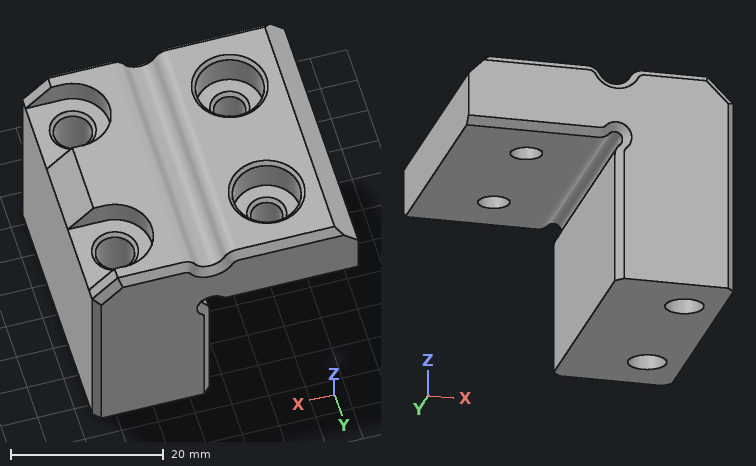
import cadquery as cq
import math

length_x = 36.0
width_y = 35.0
height_z = 30.0
arm_thickness = 10.0
leg_thickness = 16.0
inner_x = length_x - leg_thickness
inner_z = height_z - arm_thickness

arm_bevel = 3.0
heel_bevel = 3.5
side_chamfer = 1.0

groove_radius = 2.25
relief_radius = 1.0
lip_radius = 2.0

arm_hole_x = 10.0
arm_hole_spacing = 17.5
arm_hole_diameter = 4.2
counterbore_diameter = 9.0
counterbore_depth = 5.0

leg_hole_x = 31.0
leg_hole_spacing = 20.0
leg_hole_diameter = 5.1
pocket_width = 10.0
pocket_depth = 3.5

hole_chamfer = 0.5


def lip_reach(radius):
    """Distance from a channel's centre to where its rounded lip meets the flat face."""
    return math.sqrt((radius + lip_radius) ** 2 - lip_radius**2)


def lip_tangent(radius):
    """Where a channel meets its lip, as (along the face, into the material) from its centre."""
    share = radius / (radius + lip_radius)
    return lip_reach(radius) * share, lip_radius * share


def make_body():
    """Extrude the bracket outline across the full width, centred on Y = 0."""
    groove_reach = lip_reach(groove_radius)
    groove_along, groove_deep = lip_tangent(groove_radius)
    relief_reach = lip_reach(relief_radius)
    relief_along, relief_deep = lip_tangent(relief_radius)
    relief_diagonal = relief_radius * math.sqrt(0.5)

    outline = (
        cq.Workplane("XZ")
        .moveTo(0, inner_z)
        .lineTo(0, height_z - arm_bevel)
        .lineTo(arm_bevel, height_z)
        .lineTo(inner_x - groove_reach, height_z)
        .tangentArcPoint((inner_x - groove_along, height_z - groove_deep), relative=False)
        .threePointArc(
            (inner_x, height_z - groove_radius),
            (inner_x + groove_along, height_z - groove_deep),
        )
        .tangentArcPoint((inner_x + groove_reach, height_z), relative=False)
        .lineTo(length_x - heel_bevel, height_z)
        .lineTo(length_x, height_z - heel_bevel)
        .lineTo(length_x, 0)
        .lineTo(inner_x, 0)
        .lineTo(inner_x, inner_z - relief_reach)
        .tangentArcPoint((inner_x + relief_deep, inner_z - relief_along), relative=False)
        .threePointArc(
            (inner_x + relief_diagonal, inner_z + relief_diagonal),
            (inner_x - relief_along, inner_z + relief_deep),
        )
        .tangentArcPoint((inner_x - relief_reach, inner_z), relative=False)
        .close()
    )
    return outline.extrude(width_y / 2, both=True)


def chamfer_sides(body):
    """Chamfer both side outlines, leaving the arm's free end and the leg's foot sharp."""

    def stays_sharp(edge):
        middle = edge.Center()
        return middle.x < arm_bevel or middle.z < side_chamfer

    outline_edges = body.faces("<Y or >Y").edges().vals()
    chamfered_edges = [edge for edge in outline_edges if not stays_sharp(edge)]
    return body.newObject(chamfered_edges).chamfer(side_chamfer)


def chamfered_hole(x, y, mouth_z, diameter, depth):
    """Tool for a vertical hole going down from mouth_z, with a chamfered mouth."""
    radius = diameter / 2
    mouth_radius = radius + hole_chamfer
    return (
        cq.Workplane("XZ", origin=(x, y, mouth_z))
        .lineTo(mouth_radius, 0)
        .lineTo(radius, -hole_chamfer)
        .lineTo(radius, -depth)
        .lineTo(0, -depth)
        .close()
        .revolve(360, (0, 0), (0, 1))
    )


def cut_arm_hole(body, y):
    """Cut one counterbored hole through the arm."""
    seat_z = height_z - counterbore_depth
    counterbore = chamfered_hole(arm_hole_x, y, height_z, counterbore_diameter, counterbore_depth)
    hole = chamfered_hole(arm_hole_x, y, seat_z, arm_hole_diameter, seat_z)
    return body.cut(counterbore).cut(hole)


def cut_leg_hole(body, y):
    """Cut one round-ended pocket open toward +X and the hole from its floor through the leg."""
    floor_z = height_z - pocket_depth
    round_end = (
        cq.Workplane("XY", origin=(leg_hole_x, y, floor_z))
        .circle(pocket_width / 2)
        .extrude(pocket_depth)
    )
    open_end = cq.Workplane("XY", origin=(leg_hole_x, y, floor_z)).box(
        length_x - leg_hole_x, pocket_width, pocket_depth, centered=(False, True, False)
    )
    hole = chamfered_hole(leg_hole_x, y, floor_z, leg_hole_diameter, floor_z)
    return body.cut(round_end.union(open_end)).cut(hole)


result = chamfer_sides(make_body())
for side in (-1, 1):
    result = cut_arm_hole(result, side * arm_hole_spacing / 2)
    result = cut_leg_hole(result, side * leg_hole_spacing / 2)